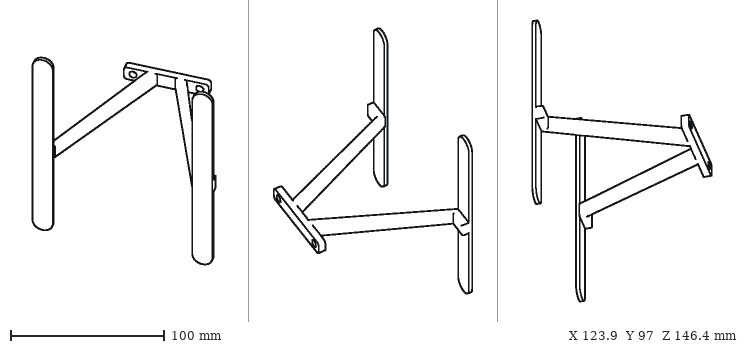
import cadquery as cq

overall_width = 123.89
overall_depth = 97.03
overall_height = 146.41

strip_width = 13.97
strip_thickness = 2.54

plate_length = 58.6
plate_thickness = 5.08
plate_corner_radius = 2.54
hole_diameter = 5.0
hole_end_distance = 6.35

frame_height = 10.1
frame_center_z = -5.75
foot_thickness = 5.08
foot_length = 11.8
leg_overhang = 1.1
leg_outer_top_x = 14.1
leg_inner_top_x = 6.2
edge_radius = 1.2

half_width = overall_width / 2
strip_center_x = half_width - strip_width / 2
plate_front_y = overall_depth - plate_thickness
foot_back_y = strip_thickness + foot_thickness


def make_strip():
    """Upright strip on the +X side."""
    return (
        cq.Workplane("XZ", origin=(strip_center_x, 0, 0))
        .slot2D(overall_height, strip_width, 90)
        .extrude(-strip_thickness)
    )


def make_leg():
    """Foot and tapered leg on the +X side, with rounded edges."""
    foot_inner_x = half_width - strip_width - leg_overhang
    foot_bend_x = half_width - foot_length
    leg = (
        cq.Workplane("XY", origin=(0, 0, -frame_height / 2))
        .moveTo(half_width, strip_thickness)
        .lineTo(half_width, foot_back_y)
        .lineTo(foot_bend_x, foot_back_y)
        .lineTo(leg_outer_top_x, plate_front_y)
        .lineTo(leg_inner_top_x, plate_front_y)
        .lineTo(foot_inner_x, strip_thickness)
        .close()
        .extrude(frame_height)
    )
    foot_back = (half_width - foot_length / 2, foot_back_y)
    leg_outside = ((foot_bend_x + leg_outer_top_x) / 2, (foot_back_y + plate_front_y) / 2)
    leg_inside = ((foot_inner_x + leg_inner_top_x) / 2, (strip_thickness + plate_front_y) / 2)
    edge_centers = [(half_width, foot_back_y, 0)]
    for x, y in (foot_back, leg_outside, leg_inside):
        edge_centers.append((x, y, -frame_height / 2))
        edge_centers.append((x, y, frame_height / 2))
    edges = [leg.edges(cq.selectors.NearestToPointSelector(center)).val() for center in edge_centers]
    return leg.newObject(edges).fillet(edge_radius)


def make_wall_plate():
    """Back plate with rounded corners and a through hole near each end."""
    hole_spacing = plate_length - 2 * hole_end_distance
    return (
        cq.Workplane("XZ", origin=(0, plate_front_y, 0))
        .rect(plate_length, frame_height)
        .extrude(-plate_thickness)
        .edges("|Y")
        .fillet(plate_corner_radius)
        .faces("<Y")
        .workplane(origin=(0, plate_front_y, 0))
        .pushPoints([(-hole_spacing / 2, 0), (hole_spacing / 2, 0)])
        .hole(hole_diameter)
    )


right_side = make_strip().union(make_leg().translate((0, 0, frame_center_z)))
left_side = right_side.mirror("YZ")
wall_plate = make_wall_plate().translate((0, 0, frame_center_z))
result = wall_plate.union(right_side).union(left_side)